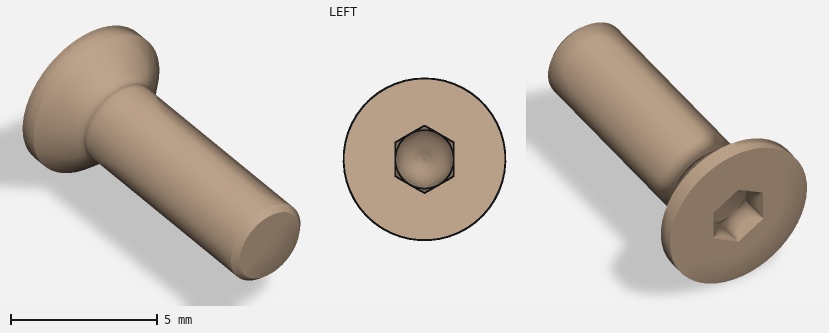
import cadquery as cq
import math


total_length = 10.0
head_diameter = 5.54
shank_diameter = 3.05
rim_thickness = 0.585
countersink_angle = 90.0
tip_chamfer = 0.2

socket_sides = 6
socket_across_flats = 2.0
socket_depth = 1.1
socket_floor_angle = 120.0

head_radius = head_diameter / 2
shank_radius = shank_diameter / 2
cone_length = (head_radius - shank_radius) / math.tan(math.radians(countersink_angle / 2))
head_length = rim_thickness + cone_length

socket_radius = socket_across_flats / 2
socket_across_corners = socket_across_flats / math.cos(math.pi / socket_sides)
floor_cone_depth = socket_radius / math.tan(math.radians(socket_floor_angle / 2))


def revolve_about_x(half_profile):
    """Solid of revolution from (x, radius) points, closed along the X axis."""
    return (
        cq.Workplane("XZ")
        .polyline(half_profile)
        .close()
        .revolve(360, (0, 0, 0), (1, 0, 0))
    )


def screw_body():
    """Rim, countersink cone, shank and chamfered tip."""
    return revolve_about_x([
        (0, 0),
        (0, head_radius),
        (rim_thickness, head_radius),
        (head_length, shank_radius),
        (total_length - tip_chamfer, shank_radius),
        (total_length, shank_radius - tip_chamfer),
        (total_length, 0),
    ])


def hex_socket():
    """Hexagonal prism from the head face, with two corners above and below the axis."""
    return (
        cq.Workplane("YZ")
        .transformed(rotate=(0, 0, 90))
        .polygon(socket_sides, socket_across_corners)
        .extrude(socket_depth)
    )


def socket_floor():
    """Drill-point cone at the bottom of the socket, as wide as the flats."""
    return revolve_about_x([
        (socket_depth, 0),
        (socket_depth, socket_radius),
        (socket_depth + floor_cone_depth, 0),
    ])


result = screw_body().cut(hex_socket()).cut(socket_floor())